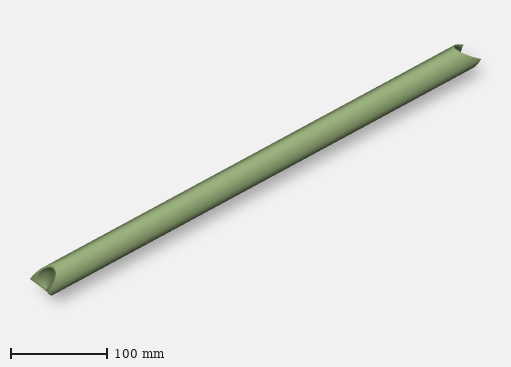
import cadquery as cq
import math

length = 568.0
tube_diameter = 30.0
wall = 2.0
cope_diameter = 30.0
cope_tilt = 17.0
tube_roll = 5.0

tube_radius = tube_diameter / 2
cope_radius = cope_diameter / 2
bore_radius = tube_radius - wall
cutter_length = 6 * cope_diameter


def straight_tube():
    """Round tube along Y, centred on the origin."""
    return (
        cq.Workplane("XZ")
        .circle(tube_radius)
        .circle(bore_radius)
        .extrude(length / 2, both=True)
    )


def cope_cutter(side):
    """Leaning cylinder whose axis crosses the tube axis at one end.

    side is +1 for the +Y end and -1 for the -Y end; the top leans inward.
    """
    tilt = math.radians(cope_tilt)
    axis = cq.Vector(0, -side * math.sin(tilt), math.cos(tilt))
    centre = cq.Vector(0, side * length / 2, 0)
    start = centre - axis * (cutter_length / 2)
    return cq.Workplane(cq.Solid.makeCylinder(cope_radius, cutter_length, start, axis))


result = straight_tube()
for side in (1, -1):
    result = result.cut(cope_cutter(side))

result = result.rotate((0, 0, 0), (0, 1, 0), -tube_roll)